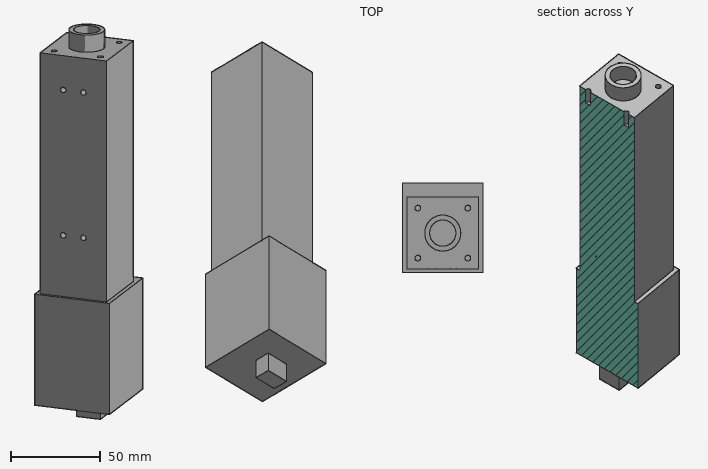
import cadquery as cq

total_height = 228.0
stub_height = 12.0
base_height = 65.0
collar_height = 10.0
column_height = total_height - stub_height - base_height - collar_height

base_width = 45.0
base_depth = 50.0

column_width = 40.0
front_ledge = 2.0
column_y = -base_depth / 2 + front_ledge + column_width / 2

stub_width = 14.4
stub_depth = 9.5
stub_y = 4.3

collar_diameter = 20.0
collar_bore_diameter = 14.5
collar_bore_depth = collar_height

hole_diameter = 3.2
hole_depth = 10.0
top_hole_spacing = 27.8
front_hole_spacing_x = 12.0
front_hole_spacing_z = 85.0
front_hole_drop = 20.0

column_top = base_height + column_height
collar_top = column_top + collar_height
front_holes_mid_z = column_top - front_hole_drop - front_hole_spacing_z / 2
column_front_y = column_y - column_width / 2


def block(width, depth, height, y, bottom):
    """Rectangular block centred on x = 0, standing on the given level."""
    return cq.Workplane("XY", origin=(0, y, bottom)).rect(width, depth).extrude(height)


def make_body():
    base = block(base_width, base_depth, base_height, 0, 0)
    column = block(column_width, column_width, column_height, column_y, base_height)
    stub = block(stub_width, stub_depth, stub_height, stub_y, -stub_height)
    return base.union(column).union(stub)


def make_collar():
    plane = cq.Workplane("XY", origin=(0, column_y, column_top))
    return plane.circle(collar_diameter / 2).extrude(collar_height)


def make_collar_bore():
    plane = cq.Workplane("XY", origin=(0, column_y, collar_top))
    return plane.circle(collar_bore_diameter / 2).extrude(-collar_bore_depth)


def make_top_holes():
    """Four holes in a square around the collar, running down from the column top."""
    plane = cq.Workplane("XY", origin=(0, column_y, column_top))
    pattern = plane.rarray(top_hole_spacing, top_hole_spacing, 2, 2)
    return pattern.circle(hole_diameter / 2).extrude(-hole_depth)


def make_front_holes():
    """Two pairs of holes running into the column from its front (-Y) face."""
    plane = cq.Workplane("XZ", origin=(0, column_front_y, front_holes_mid_z))
    pattern = plane.rarray(front_hole_spacing_x, front_hole_spacing_z, 2, 2)
    return pattern.circle(hole_diameter / 2).extrude(-hole_depth)


result = (
    make_body()
    .union(make_collar())
    .cut(make_collar_bore())
    .cut(make_top_holes())
    .cut(make_front_holes())
)